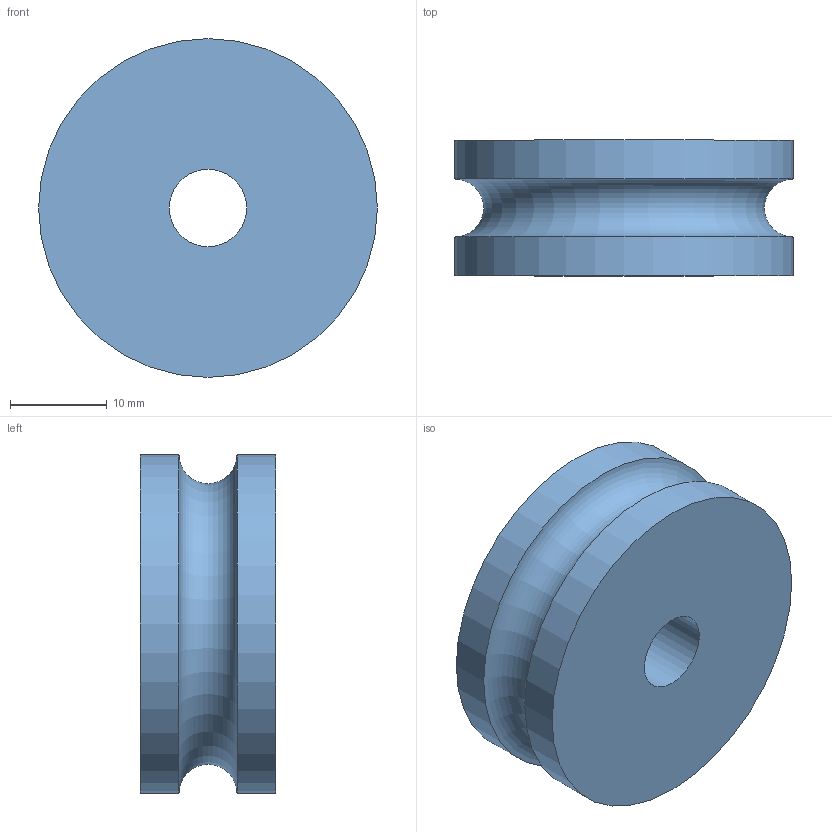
import cadquery as cq

outer_diameter = 35.0
width = 14.0
bore_diameter = 8.0
groove_radius = 3.0

outer_radius = outer_diameter / 2
bore_radius = bore_diameter / 2
half_width = width / 2


def roller_profile():
    """Half section in the XY plane: X is the radius, Y runs along the axis."""
    return (
        cq.Workplane("XY")
        .moveTo(bore_radius, -half_width)
        .lineTo(outer_radius, -half_width)
        .lineTo(outer_radius, -groove_radius)
        .threePointArc((outer_radius - groove_radius, 0), (outer_radius, groove_radius))
        .lineTo(outer_radius, half_width)
        .lineTo(bore_radius, half_width)
        .close()
    )


result = roller_profile().revolve(360, (0, 0, 0), (0, 1, 0))